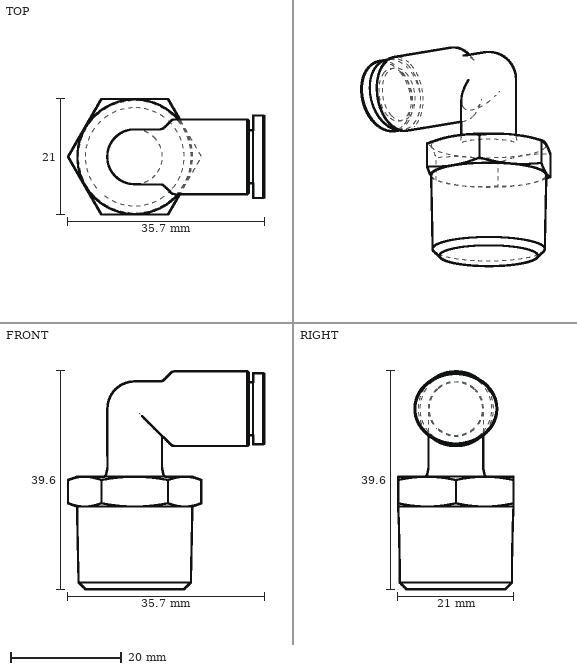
import cadquery as cq
import math

thread_length = 15.0
thread_top_radius = 10.5
thread_end_radius = 10.2
thread_chamfer = 1.25
hex_flats = 21.0
hex_height = 5.45
hex_face_radius = 10.4
hex_chamfer_angle = 20

stem_radius = 5.0
foot_radius = 5.3
foot_height = 1.5
foot_fillet = 0.35

sleeve_radius = 6.8
cone_start = 5.03
neck_fillet = 0.8
shoulder_fillet = 1.03
sleeve_end = 20.7
sleeve_end_chamfer = 0.3

groove_radius = 4.85
collar_start = 21.5
collar_end = 23.6
collar_half_width = 7.52
collar_half_height = 6.45
collar_chamfer_length = 0.3
collar_chamfer_depth = 0.15

overall_height = 39.6
hex_top = thread_length + hex_height
arm_axis_z = overall_height - sleeve_radius


def turn_about_z(points):
    """Solid turned about Z from (radius, z) points."""
    return cq.Workplane("XZ").polyline(points).close().revolve(360, (0, 0, 0), (0, 1, 0))


def circle_edges_at(center):
    """Selector for the circular edges centred on the given point."""
    reach = 0.005
    low = tuple(value - reach for value in center)
    high = tuple(value + reach for value in center)
    return cq.selectors.BoxSelector(low, high)


def make_thread():
    """Tapered thread envelope with a 45 degree lead-in chamfer."""
    return turn_about_z([
        (0, 0),
        (thread_end_radius - thread_chamfer, 0),
        (thread_end_radius, thread_chamfer),
        (thread_top_radius, thread_length),
        (0, thread_length),
    ])


def make_hexagon():
    """Hexagon with two corners on the X axis and its corners turned off at both faces."""
    corner_radius = hex_flats / math.sqrt(3)
    corner_drop = (corner_radius - hex_face_radius) * math.tan(math.radians(hex_chamfer_angle))
    prism = (
        cq.Workplane("XY", origin=(0, 0, thread_length))
        .polygon(6, 2 * corner_radius)
        .extrude(hex_height)
    )
    turned_blank = turn_about_z([
        (0, thread_length),
        (hex_face_radius, thread_length),
        (corner_radius, thread_length + corner_drop),
        (corner_radius, hex_top - corner_drop),
        (hex_face_radius, hex_top),
        (0, hex_top),
    ])
    return prism.intersect(turned_blank)


def make_stem():
    """Round stem that widens to a cone just above the hexagon."""
    return turn_about_z([
        (0, hex_top),
        (foot_radius, hex_top),
        (stem_radius, hex_top + foot_height),
        (stem_radius, arm_axis_z),
        (0, arm_axis_z),
    ])


def make_base():
    """Thread, hexagon and stem, with a fillet where the stem meets the hexagon."""
    base = make_thread().union(make_hexagon()).union(make_stem())
    smallest_circle = cq.selectors.RadiusNthSelector(0)
    foot_edge = base.edges(circle_edges_at((0, 0, hex_top))).edges(smallest_circle)
    return foot_edge.fillet(foot_fillet)


def make_sleeve():
    """Arm, 45 degree cone and sleeve, turned about the arm axis."""
    cone_end = cone_start + sleeve_radius - stem_radius
    sleeve = (
        cq.Workplane("XZ", origin=(0, 0, arm_axis_z))
        .polyline([
            (0, 0),
            (0, stem_radius),
            (cone_start, stem_radius),
            (cone_end, sleeve_radius),
            (sleeve_end, sleeve_radius),
            (sleeve_end, 0),
        ])
        .close()
        .revolve(360, (0, 0, 0), (1, 0, 0))
    )
    sleeve = sleeve.edges(circle_edges_at((cone_start, 0, arm_axis_z))).fillet(neck_fillet)
    sleeve = sleeve.edges(circle_edges_at((cone_end, 0, arm_axis_z))).fillet(shoulder_fillet)
    return sleeve.faces(">X").chamfer(sleeve_end_chamfer)


def make_release_collar():
    """Groove cylinder and oval collar beyond the end of the sleeve."""
    groove = (
        cq.Workplane("YZ", origin=(sleeve_end, 0, arm_axis_z))
        .circle(groove_radius)
        .extrude(collar_start - sleeve_end)
    )
    collar = (
        cq.Workplane("YZ", origin=(collar_start, 0, arm_axis_z))
        .ellipse(collar_half_width, collar_half_height)
        .extrude(collar_end - collar_start)
        .faces(">X")
        .chamfer(collar_chamfer_length, collar_chamfer_depth)
    )
    return groove.union(collar)


def make_elbow():
    """Ball that rounds the corner between the stem and the arm."""
    return cq.Workplane("XY", origin=(0, 0, arm_axis_z)).sphere(stem_radius)


result = make_base().union(make_elbow()).union(make_sleeve()).union(make_release_collar())